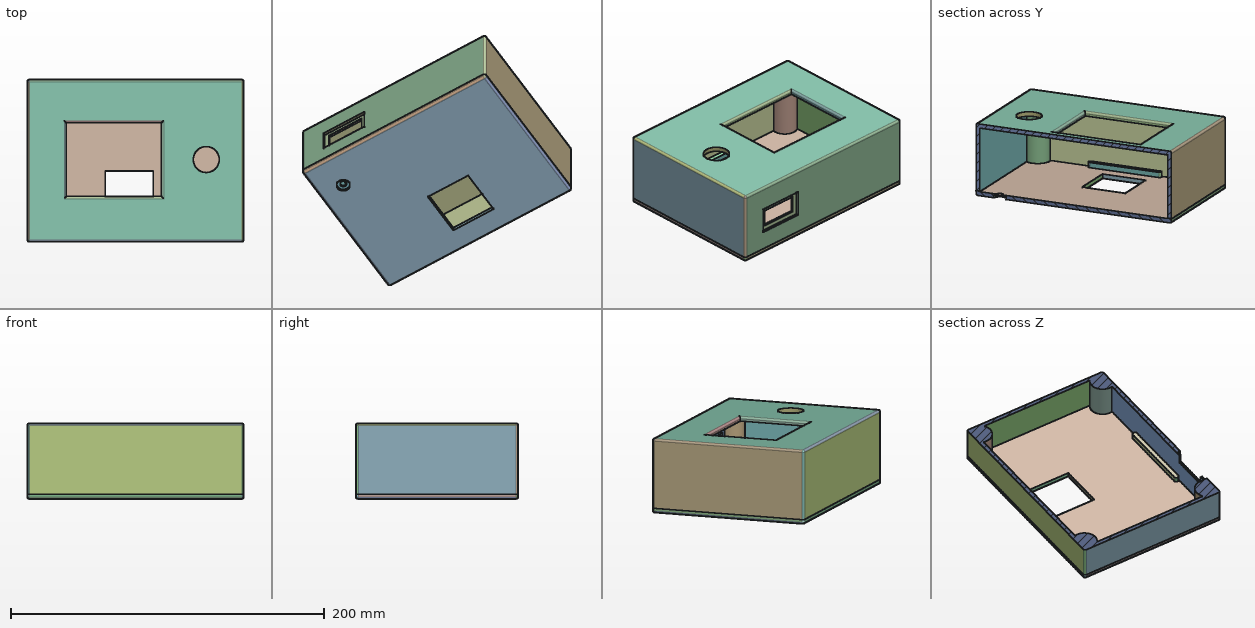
import cadquery as cq

LENGTH = 138.0
WIDTH = 103.5
HEIGHT = 48.3

WALL = 3.0
EDGE_RADIUS = 1.4

PLATE_BOTTOM = -HEIGHT / 2
PLATE_TOP = PLATE_BOTTOM + WALL
HOUSING_TOP = HEIGHT / 2
INNER_LENGTH = LENGTH - 2 * WALL
INNER_WIDTH = WIDTH - 2 * WALL
INNER_HEIGHT = HOUSING_TOP - WALL - PLATE_TOP

WINDOW_LENGTH = 60.7
WINDOW_WIDTH = 47.0
WINDOW_X = -13.8
CONTROLS_Y = 0.7

BUTTON_DIAMETER = 16.5
BUTTON_X = 45.1

WEB = 1.4
RECESS_DEPTH = WALL - WEB

BOSS_RADIUS = 8.3
BOSS_X = 61.4
BOSS_Y = 46.8

SLOT_LEFT = 25.1
SLOT_LENGTH = 24.8
SLOT_BOTTOM = -5.8
SLOT_HEIGHT = 11.0
SLOT_RECESS_MARGIN = 3.0

LIP_LENGTH = 51.4
LIP_HEIGHT = 3.5
LIP_END_RADIUS = 1.4

OPENING_SIZE = 30.4
OPENING_X = -4.0
OPENING_BACK_Y = -6.8
VENT_DIAMETER = 4.1
VENT_RECESS_DIAMETER = 8.5
VENT_X = 52.0
VENT_Y = 29.5


def block(length, width, height, x, y, bottom):
    """Box centred on (x, y) that stands on the level `bottom`."""
    solid = cq.Workplane("XY").box(length, width, height, centered=(True, True, False))
    return solid.translate((x, y, bottom))


def upright_cylinder(radius, height, x, y, bottom):
    """Vertical cylinder about (x, y) that stands on the level `bottom`."""
    return cq.Workplane("XY").circle(radius).extrude(height).translate((x, y, bottom))


def make_housing():
    """Open-bottomed box with corner bosses, a rounded window, a button hole and a wall slot."""
    shell = block(LENGTH, WIDTH, HOUSING_TOP - PLATE_TOP, 0, 0, PLATE_TOP)
    shell = shell.edges("|Z or >Z").fillet(EDGE_RADIUS)
    cavity = block(INNER_LENGTH, INNER_WIDTH, INNER_HEIGHT, 0, 0, PLATE_TOP)
    for x in (-BOSS_X, BOSS_X):
        for y in (-BOSS_Y, BOSS_Y):
            cavity = cavity.cut(upright_cylinder(BOSS_RADIUS, INNER_HEIGHT, x, y, PLATE_TOP))
    shell = shell.cut(cavity)

    window = block(WINDOW_LENGTH, WINDOW_WIDTH, WALL, WINDOW_X, CONTROLS_Y, HOUSING_TOP - WALL)
    shell = shell.cut(window)
    window_rim = shell.faces(">Z").wires().item(1).edges()
    shell = window_rim.fillet(EDGE_RADIUS)

    button = upright_cylinder(BUTTON_DIAMETER / 2, WALL, BUTTON_X, CONTROLS_Y, HOUSING_TOP - WALL)
    return shell.cut(button).cut(slot_cutter())


def slot_cutter():
    """Through slot in the +Y wall with a wider recess around its outer mouth."""
    slot_x = SLOT_LEFT + SLOT_LENGTH / 2
    slot = block(SLOT_LENGTH, WALL, SLOT_HEIGHT, slot_x, (WIDTH - WALL) / 2, SLOT_BOTTOM)
    recess = block(
        SLOT_LENGTH + 2 * SLOT_RECESS_MARGIN,
        RECESS_DEPTH,
        SLOT_HEIGHT + 2 * SLOT_RECESS_MARGIN,
        slot_x,
        (WIDTH - RECESS_DEPTH) / 2,
        SLOT_BOTTOM - SLOT_RECESS_MARGIN,
    )
    return slot.union(recess)


def make_base():
    """Plate with rounded outer edges, two locating lips, a rectangular opening and a small vent."""
    plate = block(LENGTH, WIDTH, WALL, 0, 0, PLATE_BOTTOM).edges("|Z or <Z").fillet(EDGE_RADIUS)
    for side in (-1, 1):
        lip = block(LIP_LENGTH, WALL, LIP_HEIGHT, 0, side * (INNER_WIDTH - WALL) / 2, PLATE_TOP)
        plate = plate.union(lip.edges("|Z").fillet(LIP_END_RADIUS))
    opening = block(
        OPENING_SIZE, OPENING_SIZE, WALL, OPENING_X, OPENING_BACK_Y - OPENING_SIZE / 2, PLATE_BOTTOM
    )
    vent = upright_cylinder(VENT_DIAMETER / 2, WALL, VENT_X, VENT_Y, PLATE_BOTTOM)
    vent_recess = upright_cylinder(VENT_RECESS_DIAMETER / 2, RECESS_DEPTH, VENT_X, VENT_Y, PLATE_BOTTOM)
    return plate.cut(opening).cut(vent).cut(vent_recess)


housing = make_housing()
base = make_base()
result = cq.Compound.makeCompound([housing.val(), base.val()])